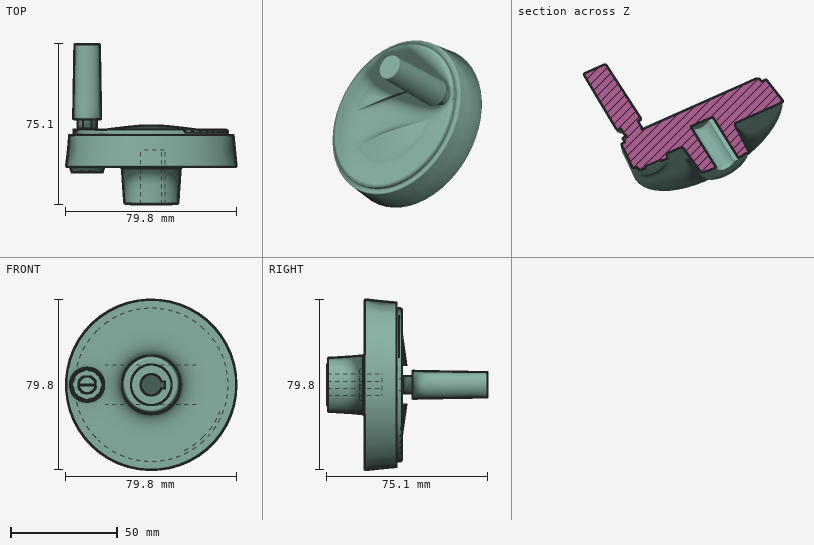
import cadquery as cq

wheel_diameter = 80.0
wheel_rear_diameter = 76.95
wheel_width = 15.0
wheel_front_fillet = 0.9
wheel_rear_fillet = 0.5
cover_diameter = 71.8
cover_thickness = 2.55
cover_fillet = 1.4
cover_rear = wheel_width + cover_thickness

cone_diameter = 46.6
cone_slope = 0.142
cone_channel_width = 18.35
cone_top_diameter = 16.0

hub_base_diameter = 27.6
hub_end_diameter = 25.3
hub_length = 17.2
hub_base_fillet = 0.7
hub_end_fillet = 0.9
insert_diameter = 19.0
insert_projection = 0.3
bore_diameter = 10.0
bore_depth = 25.55
key_width = 3.3
key_reach = 6.5

handle_x = -30.0
handle_length = 35.2
handle_base_diameter = 13.2
handle_end_diameter = 12.0
handle_fillet = 0.7
spindle_diameter = 9.2
spindle_flats = 8.2
spindle_length = 4.8
collar_height = 0.55
seat_diameter = 12.8

boss_base_diameter = 16.0
boss_end_diameter = 14.3
boss_height = 2.5
screw_diameter = 8.0
screw_recess = 0.1
slot_width = 0.5
slot_depth = 0.8


def frustum(start_y, length, start_diameter, end_diameter, x=0.0):
    """Solid of revolution about Y; a negative length runs toward -Y."""
    end_y = start_y + length
    profile = [
        (0, start_y),
        (start_diameter / 2, start_y),
        (end_diameter / 2, end_y),
        (0, end_y),
    ]
    solid = cq.Workplane("XY").polyline(profile).close().revolve(360, (0, 0), (0, 1))
    return solid.translate((x, 0, 0))


def cylinder(start_y, length, diameter, x=0.0):
    return frustum(start_y, length, diameter, diameter, x)


def box(start_y, length, width_x, width_z, x=0.0):
    """Box centred on X and Z that runs along Y from start_y."""
    return cq.Workplane("XY").box(width_x, length, width_z).translate((x, start_y + length / 2, 0))


def make_wheel():
    wheel = frustum(0, wheel_width, wheel_diameter, wheel_rear_diameter)
    wheel = wheel.faces("<Y").edges().fillet(wheel_front_fillet)
    return wheel.faces(">Y").edges().fillet(wheel_rear_fillet)


def make_cover():
    cover = cylinder(wheel_width, cover_thickness, cover_diameter)
    cover = cover.faces(">Y").edges().fillet(cover_fillet)
    cone_height = cone_slope * (cone_diameter - cone_top_diameter) / 2
    cone = frustum(cover_rear, cone_height, cone_diameter, cone_top_diameter)
    cone = cone.cut(box(cover_rear, cone_height, cone_diameter, cone_channel_width))
    seat = cylinder(wheel_width, cover_thickness, seat_diameter, handle_x)
    return cover.union(cone).union(seat)


def make_hub_body():
    hub = frustum(0, -hub_length, hub_base_diameter, hub_end_diameter)
    return hub.faces("<Y").edges().fillet(hub_end_fillet)


def make_hub_flare():
    """Concave fillet where the hub meets the wheel."""
    radius = hub_base_diameter / 2
    profile = (
        cq.Workplane("XY")
        .moveTo(0, 0)
        .lineTo(radius + hub_base_fillet, 0)
        .radiusArc((radius, -hub_base_fillet), -hub_base_fillet)
        .lineTo(0, -hub_base_fillet)
        .close()
    )
    return profile.revolve(360, (0, 0), (0, 1))


def make_bore():
    opening_y = -hub_length - insert_projection
    bore = cylinder(opening_y, bore_depth, bore_diameter)
    keyway = box(opening_y, bore_depth, key_reach, key_width, key_reach / 2)
    return bore.union(keyway)


def make_handle():
    grip_start = cover_rear + spindle_length
    grip = frustum(grip_start, handle_length, handle_base_diameter, handle_end_diameter, handle_x)
    grip = grip.faces("<Y or >Y").edges().fillet(handle_fillet)
    flats_start = cover_rear + collar_height
    spindle = cylinder(flats_start, grip_start - flats_start, spindle_diameter, handle_x)
    flats = box(flats_start, grip_start - flats_start, spindle_diameter, spindle_flats, handle_x)
    collar = cylinder(wheel_width, flats_start - wheel_width, spindle_flats, handle_x)
    return spindle.intersect(flats).union(collar).union(grip)


def make_boss():
    boss = frustum(0, -boss_height, boss_base_diameter, boss_end_diameter, handle_x)
    screw_pocket = cylinder(-boss_height, screw_recess, screw_diameter, handle_x)
    slot = box(-boss_height, slot_depth, screw_diameter, slot_width, handle_x)
    slot = slot.intersect(cylinder(-boss_height, slot_depth, screw_diameter, handle_x))
    return boss.cut(screw_pocket).cut(slot)


insert = cylinder(0, -hub_length - insert_projection, insert_diameter)
result = (
    make_wheel()
    .union(make_cover())
    .union(make_hub_body())
    .union(make_hub_flare())
    .union(insert)
    .cut(make_bore())
    .union(make_handle())
    .union(make_boss())
)